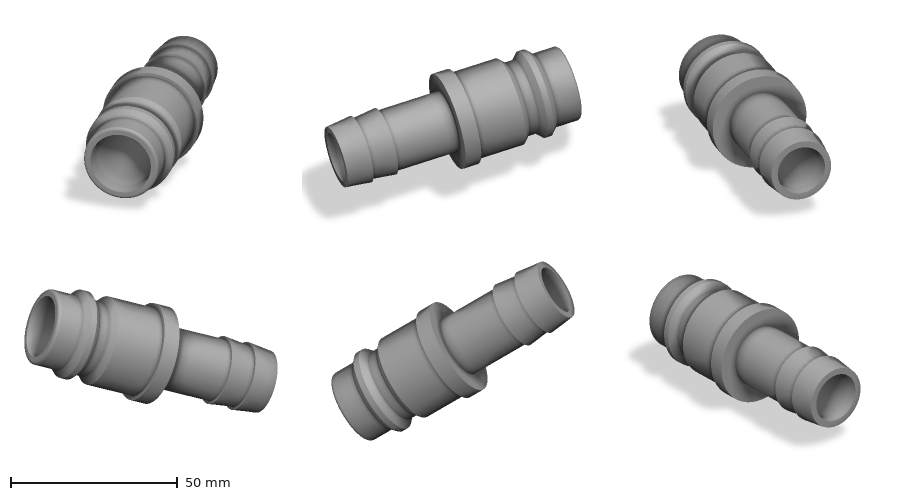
import cadquery as cq

total_length = 75.0
flange_diameter = 30.0
body_diameter = 27.3
nose_diameter = 23.25
hose_diameter = 19.1
barb_diameter = 21.0
bore_diameter = 15.15
socket_diameter = 18.8

nose_length = 8.0
nose_rounding = 1.0
collar_width = 1.95
groove_width = 3.0
body_length = 15.0
flange_width = 5.0
barb_length = 7.95
barb_count = 2

flange_radius = flange_diameter / 2
body_radius = body_diameter / 2
nose_radius = nose_diameter / 2
hose_radius = hose_diameter / 2
barb_radius = barb_diameter / 2
bevel = body_radius - nose_radius

front_end = -total_length / 2
back_end = total_length / 2
nose_end = front_end + nose_length
collar_start = nose_end + bevel
collar_end = collar_start + collar_width
groove_start = collar_end + bevel
groove_end = groove_start + groove_width
body_start = groove_end + bevel
flange_start = body_start + body_length
flange_end = flange_start + flange_width


def revolve_about_axis(profile):
    """Turn a closed half-profile in the XY plane around the Y axis."""
    return profile.close().revolve(360, (0, 0, 0), (0, 1, 0))


def make_plug():
    """Rounded nose, bevelled collar, groove, body and flange."""
    profile = (
        cq.Workplane("XY")
        .moveTo(0, front_end)
        .lineTo(nose_radius - nose_rounding, front_end)
        .radiusArc((nose_radius, front_end + nose_rounding), -nose_rounding)
        .lineTo(nose_radius, nose_end)
        .lineTo(body_radius, collar_start)
        .lineTo(body_radius, collar_end)
        .lineTo(nose_radius, groove_start)
        .lineTo(nose_radius, groove_end)
        .lineTo(body_radius, body_start)
        .lineTo(body_radius, flange_start)
        .lineTo(flange_radius, flange_start)
        .lineTo(flange_radius, flange_end)
        .lineTo(0, flange_end)
    )
    return revolve_about_axis(profile)


def make_hose_tail():
    """Plain shank followed by tapered barbs that narrow toward the hose end."""
    profile = (
        cq.Workplane("XY")
        .moveTo(0, flange_end)
        .lineTo(hose_radius, flange_end)
        .lineTo(hose_radius, back_end - barb_count * barb_length)
    )
    for barbs_left in range(barb_count, 0, -1):
        barb_start = back_end - barbs_left * barb_length
        profile = (
            profile.lineTo(barb_radius, barb_start)
            .lineTo(hose_radius, barb_start + barb_length)
        )
    return revolve_about_axis(profile.lineTo(0, back_end))


def make_cylinder(diameter, start, end):
    """Cylinder on the part axis between two stations along Y."""
    return cq.Workplane("XZ", origin=(0, end, 0)).circle(diameter / 2).extrude(end - start)


bore = make_cylinder(bore_diameter, front_end, back_end)
socket = make_cylinder(socket_diameter, front_end, flange_start)

result = make_plug().union(make_hose_tail()).cut(bore).cut(socket)